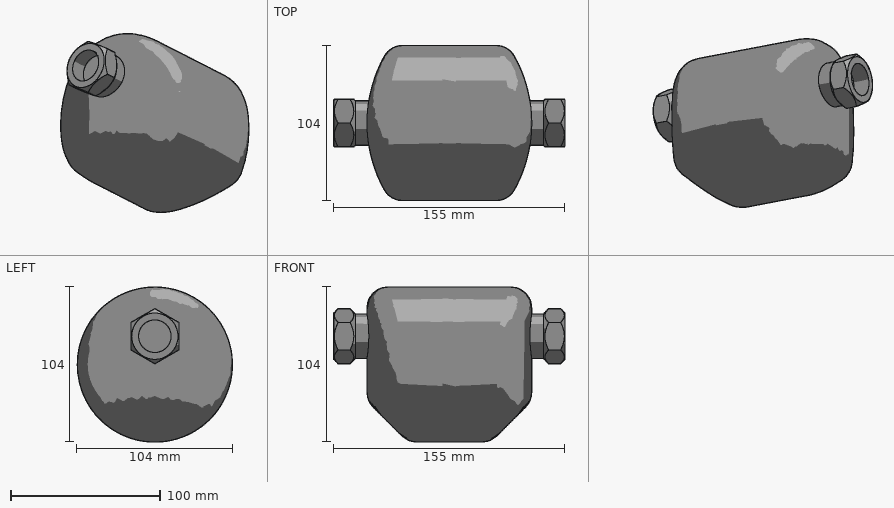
import cadquery as cq
import math

shell_diameter = 104.0
body_length = 110.4
end_face_radius = 92.0
edge_fillet = 14.0
band_width = 9.0

slant_angle = 45.0
slant_start_height = -24.4

overall_length = 155.0
port_height = 19.0
neck_diameter = 30.0
bore_diameter = 21.8
bore_depth = 12.0
hex_across_flats = 32.0
nut_length = 14.5
nut_face_diameter = 31.0
nut_bevel_angle = 45.0

shell_radius = shell_diameter / 2
half_body = body_length / 2
half_band = band_width / 2
half_overall = overall_length / 2


def both_ends(shape):
    """The shape and its mirror image at the opposite end of the part."""
    return [shape, shape.mirror("YZ")]


def make_domed_bar():
    """-X end of the shell: a round bar with a cylindrical face curved about a vertical axis."""
    sagitta = end_face_radius - math.sqrt(end_face_radius**2 - shell_radius**2)
    corner_x = half_body - sagitta
    plan = (
        cq.Workplane("XY")
        .moveTo(-half_band, -shell_radius)
        .lineTo(-half_band, shell_radius)
        .lineTo(-corner_x, shell_radius)
        .threePointArc((-half_body, 0), (-corner_x, -shell_radius))
        .close()
        .extrude(shell_radius, both=True)
    )
    bar = cq.Workplane("YZ").circle(shell_radius).extrude(-half_body)
    return bar.intersect(plan)


def make_slant_cutter():
    """Wedge that takes the lower corner off the -X end."""
    run = (slant_start_height + shell_radius) / math.tan(math.radians(slant_angle))
    return (
        cq.Workplane("XZ")
        .moveTo(-half_body, slant_start_height)
        .lineTo(-half_body, -shell_radius)
        .lineTo(-half_body + run, -shell_radius)
        .close()
        .extrude(shell_radius, both=True)
    )


def make_body():
    """Two end shells joined by a flush middle band."""
    shell = make_domed_bar().cut(make_slant_cutter())
    shell = shell.edges("(not %LINE) and (not >X)").fillet(edge_fillet)
    band = cq.Workplane("YZ", origin=(-half_band, 0, 0)).circle(shell_radius).extrude(band_width)
    for end_shell in both_ends(shell):
        band = band.union(end_shell, clean=False)
    return band


def make_connection():
    """Neck and bevelled hexagon nut at the +X end, starting inside the body."""
    neck_radius = neck_diameter / 2
    face_radius = nut_face_diameter / 2
    corner_radius = hex_across_flats / math.sqrt(3)
    bevel_slope = math.tan(math.radians(nut_bevel_angle))
    nut_start = half_overall - nut_length
    back_bevel_end = nut_start + (corner_radius - neck_radius) * bevel_slope
    front_bevel_start = half_overall - (corner_radius - face_radius) * bevel_slope

    turned = (
        cq.Workplane("XZ")
        .polyline([
            (nut_start, 0),
            (nut_start, neck_radius),
            (back_bevel_end, corner_radius),
            (front_bevel_start, corner_radius),
            (half_overall, face_radius),
            (half_overall, 0),
        ])
        .close()
        .revolve(360, (0, 0, 0), (1, 0, 0))
    )
    hexagon = (
        cq.Workplane("YZ", origin=(nut_start, 0, 0))
        .transformed(rotate=(0, 0, 90))
        .polygon(6, 2 * corner_radius)
        .extrude(nut_length)
    )
    neck = cq.Workplane("YZ").circle(neck_radius).extrude(nut_start)
    return neck.union(turned.intersect(hexagon)).translate((0, 0, port_height))


def make_bore():
    """Blind bore in the +X nut face."""
    return (
        cq.Workplane("YZ", origin=(half_overall - bore_depth, 0, port_height))
        .circle(bore_diameter / 2)
        .extrude(bore_depth)
    )


result = make_body()
for connection in both_ends(make_connection()):
    result = result.union(connection, clean=False)
for bore in both_ends(make_bore()):
    result = result.cut(bore, clean=False)